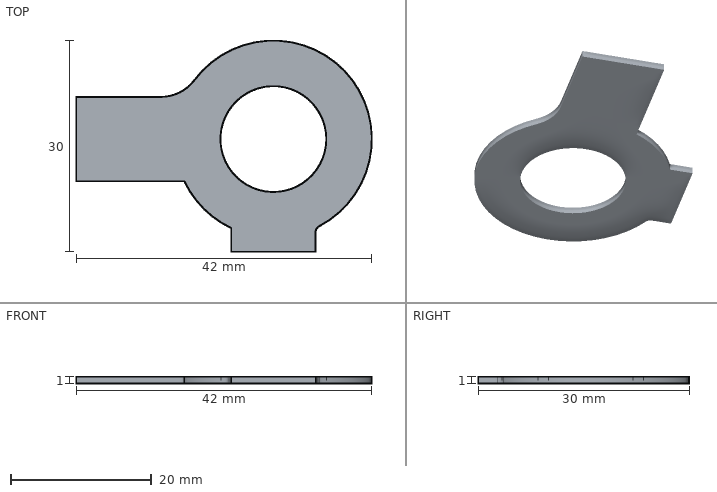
import cadquery as cq
import math

thickness = 1.0
ring_radius = 14.0
bore_diameter = 15.0
tab_width = 12.0
long_tab_reach = 28.0
short_tab_reach = 16.0
long_tab_fillet = 6.0
short_tab_fillet = 1.0

half_tab = tab_width / 2


def fillet_points(radius):
    """Start, middle and end of a fillet joining a tab edge to the ring.

    Each point is (distance along the tab, distance across it), measured from
    the bore axis. The start lies on the tab edge and the end on the ring.
    """
    centre_across = half_tab + radius
    centre_along = math.sqrt((ring_radius + radius) ** 2 - centre_across ** 2)
    ring_share = ring_radius / (ring_radius + radius)
    start = (centre_along, half_tab)
    end = (centre_along * ring_share, centre_across * ring_share)

    chord_along = (start[0] + end[0]) / 2 - centre_along
    chord_across = (start[1] + end[1]) / 2 - centre_across
    reach = radius / math.hypot(chord_along, chord_across)
    middle = (centre_along + chord_along * reach, centre_across + chord_across * reach)
    return start, middle, end


def on_long_tab(point):
    """Place an (along, across) point on the +Y edge of the long tab."""
    along, across = point
    return (-along, across)


def on_short_tab(point):
    """Place an (along, across) point on the +X edge of the short tab."""
    along, across = point
    return (across, -along)


def washer_outline():
    """Closed outline, clockwise from the outer -Y corner of the long tab."""
    long_start, long_middle, long_end = map(on_long_tab, fillet_points(long_tab_fillet))
    short_start, short_middle, short_end = map(on_short_tab, fillet_points(short_tab_fillet))

    corner_along = math.sqrt(ring_radius ** 2 - half_tab ** 2)
    ring_diagonal = ring_radius * math.sqrt(0.5)

    return (
        cq.Workplane("XY")
        .moveTo(-long_tab_reach, -half_tab)
        .lineTo(-long_tab_reach, half_tab)
        .lineTo(*long_start)
        .threePointArc(long_middle, long_end)
        .threePointArc((ring_radius, 0), short_end)
        .threePointArc(short_middle, short_start)
        .lineTo(half_tab, -short_tab_reach)
        .lineTo(-half_tab, -short_tab_reach)
        .lineTo(-half_tab, -corner_along)
        .threePointArc((-ring_diagonal, -ring_diagonal), (-corner_along, -half_tab))
        .close()
    )


def bore():
    """Cylinder removed from the middle of the ring."""
    return cq.Workplane("XY").circle(bore_diameter / 2).extrude(thickness)


result = washer_outline().extrude(thickness).cut(bore())